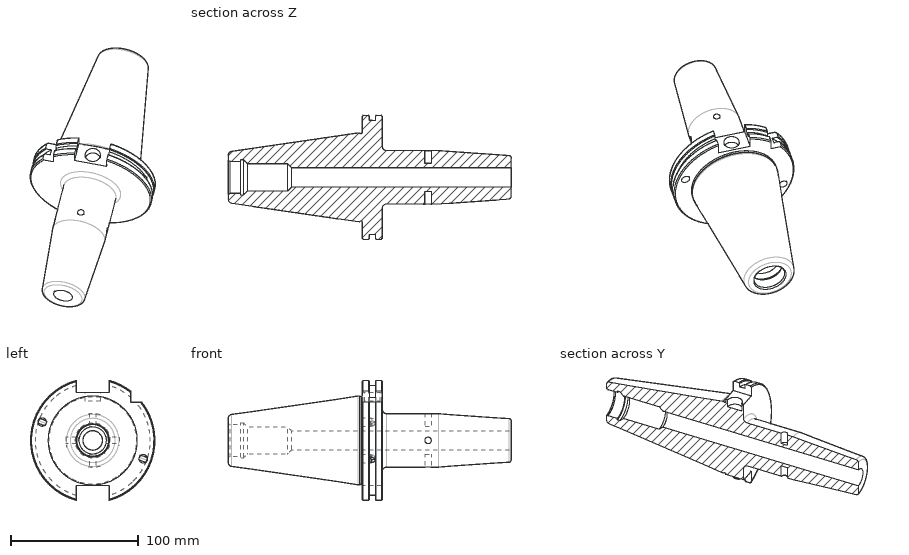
import cadquery as cq
import math

total_length = 221.8
gauge_x = 101.8
gauge_diameter = 69.9
gauge_radius = gauge_diameter / 2
taper_ratio = 7 / 24
small_end_radius = gauge_radius - gauge_x * taper_ratio / 2
small_end_fillet = 3.0

collar_width = 1.0
relief_depth = 0.7

flange_radius = 48.8
flange_start_x = gauge_x + 3.0
flange_width = 16.0
flange_end_x = flange_start_x + flange_width
flange_chamfer = 0.9
groove_x = gauge_x + 11.0
groove_floor_radius = 45.0
groove_width = 4.7
groove_chamfer = 0.7

cutter_reach = flange_radius + 2.2

slot_width = 25.7
upper_slot_floor_z = 37.7
lower_slot_floor_z = -35.5
notch_y = -30.0
notch_z = 30.0
slot_hole_diameter = 12.0
slot_hole_depth = 6.7

neck_radius = 21.0
neck_fillet = 3.0
nose_start_x = 164.5
nose_end_radius = 17.0
nose_fillet = 2.0

mouth_radius = 13.0
mouth_chamfer_length = 1.5
counterbore_radius = 12.5
counterbore_depth = 9.8
undercut_radius = 13.7
undercut_end_x = 12.0
core_radius = 10.6
core_end_x = 46.5
through_radius = 7.5

coolant_angle = 20.0
coolant_circle_radius = 42.1
coolant_diameter = 6.7
drill_tip_angle = 118.0
coolant_radial_diameter = 4.0
coolant_radial_floor = coolant_circle_radius - coolant_diameter / 2

neck_hole_x = 156.5
neck_hole_diameter = 5.0
neck_hole_depth = 10.0


def revolve_about_x(points):
    """Closed profile of (x, radius) points turned about the X axis."""
    return cq.Workplane("XY").polyline(points).close().revolve(360, (0, 0, 0), (1, 0, 0))


def make_body():
    relief_x = (gauge_x + collar_width + flange_start_x) / 2
    body = revolve_about_x([
        (0, 0),
        (0, small_end_radius),
        (gauge_x, gauge_radius),
        (gauge_x + collar_width, gauge_radius),
        (relief_x, gauge_radius - relief_depth),
        (flange_start_x, gauge_radius),
        (flange_start_x, neck_radius),
        (nose_start_x, neck_radius),
        (total_length, nose_end_radius),
        (total_length, 0),
    ])
    body = body.faces("<X").edges().fillet(small_end_fillet)
    return body.faces(">X").edges().fillet(nose_fillet)


def make_flange():
    flange = (
        cq.Workplane("YZ", origin=(flange_start_x, 0, 0))
        .circle(flange_radius)
        .extrude(flange_width)
        .edges()
        .chamfer(flange_chamfer)
    )
    half_width = groove_width / 2
    half_mouth = half_width + groove_chamfer
    groove = revolve_about_x([
        (groove_x - half_width, groove_floor_radius),
        (groove_x + half_width, groove_floor_radius),
        (groove_x + half_width, flange_radius - groove_chamfer),
        (groove_x + half_mouth, flange_radius),
        (groove_x + half_mouth, cutter_reach),
        (groove_x - half_mouth, cutter_reach),
        (groove_x - half_mouth, flange_radius),
        (groove_x - half_width, flange_radius - groove_chamfer),
    ])
    return flange.cut(groove)


def flange_cutter(y_min, y_max, z_min, z_max):
    """Box across the whole flange width, bounded in Y and Z."""
    return cq.Workplane("XY", origin=(flange_start_x, y_min, z_min)).box(
        flange_width, y_max - y_min, z_max - z_min, centered=False
    )


def make_flange_cuts():
    half_slot = slot_width / 2
    upper_slot = flange_cutter(-half_slot, half_slot, upper_slot_floor_z, cutter_reach)
    lower_slot = flange_cutter(-half_slot, half_slot, -cutter_reach, lower_slot_floor_z)
    notch = flange_cutter(-cutter_reach, notch_y, notch_z, cutter_reach)
    floor_hole = (
        cq.Workplane("XY", origin=(groove_x, 0, upper_slot_floor_z))
        .circle(slot_hole_diameter / 2)
        .extrude(-slot_hole_depth)
    )
    return upper_slot.union(lower_slot).union(notch).union(floor_hole)


def make_bore():
    return revolve_about_x([
        (0, 0),
        (0, mouth_radius),
        (mouth_chamfer_length, counterbore_radius),
        (counterbore_depth, counterbore_radius),
        (counterbore_depth, undercut_radius),
        (undercut_end_x, undercut_radius),
        (undercut_end_x + undercut_radius - core_radius, core_radius),
        (core_end_x, core_radius),
        (core_end_x + core_radius - through_radius, through_radius),
        (total_length, through_radius),
        (total_length, 0),
    ])


def make_coolant_hole(angle):
    """Axial hole from the flange face, met by a radial hole from the groove."""
    drill_radius = coolant_diameter / 2
    drill_tip_length = drill_radius / math.tan(math.radians(drill_tip_angle / 2))
    axial = revolve_about_x([
        (flange_start_x, 0),
        (flange_start_x, drill_radius),
        (groove_x - drill_tip_length / 2, drill_radius),
        (groove_x + drill_tip_length / 2, 0),
    ]).translate((0, coolant_circle_radius, 0))
    radial = (
        cq.Workplane("XZ", origin=(groove_x, flange_radius, 0))
        .circle(coolant_radial_diameter / 2)
        .extrude(flange_radius - coolant_radial_floor)
    )
    return axial.union(radial).rotate((0, 0, 0), (1, 0, 0), angle)


def make_neck_hole(angle):
    return (
        cq.Workplane("XY", origin=(neck_hole_x, 0, neck_radius - neck_hole_depth))
        .circle(neck_hole_diameter / 2)
        .extrude(neck_hole_depth)
        .rotate((0, 0, 0), (1, 0, 0), angle)
    )


def round_neck_corner(part):
    """Fillet where the neck meets the back face of the flange."""
    margin = 0.2
    half_size = neck_radius + margin
    neck_corner = cq.selectors.BoxSelector(
        (flange_end_x - margin, -half_size, -half_size),
        (flange_end_x + margin, half_size, half_size),
        boundingbox=True,
    )
    return part.edges(neck_corner).fillet(neck_fillet)


result = round_neck_corner(make_body().union(make_flange()))
result = result.cut(make_flange_cuts()).cut(make_bore())

for angle in (coolant_angle, coolant_angle + 180):
    result = result.cut(make_coolant_hole(angle))

for angle in range(0, 360, 90):
    result = result.cut(make_neck_hole(angle))